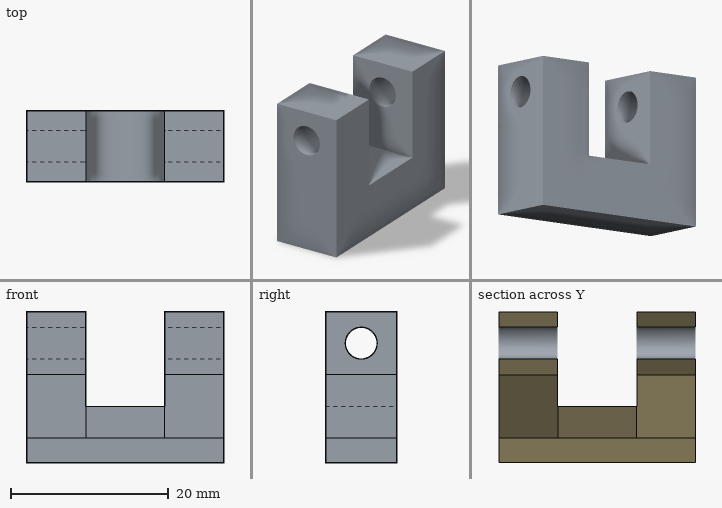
import cadquery as cq

length = 25.0
depth = 9.0
base_height = 3.18
block_width = 7.5
block_height = 8.0
spacer_height = 4.0
hole_diameter = 4.0

gap_width = length - 2 * block_width
block_offset = (length - block_width) / 2
lower_block_z = base_height
upper_block_z = lower_block_z + block_height


def make_box(width, height, x_center, z_bottom):
    """Full-depth box standing on the level z_bottom."""
    return (
        cq.Workplane("XY")
        .box(width, depth, height, centered=(True, True, False))
        .translate((x_center, 0, z_bottom))
    )


def make_base():
    """Plate that carries the blocks and the spacer."""
    return make_box(length, base_height, 0, 0)


def make_spacer():
    """Low block that fills the gap between the two lower blocks."""
    return make_box(gap_width, spacer_height, 0, base_height)


def make_lower_block(x_center):
    """Plain block standing on one end of the base."""
    return make_box(block_width, block_height, x_center, lower_block_z)


def make_upper_block(x_center):
    """Block on top of a lower block, with a through hole along X at its center."""
    block = make_box(block_width, block_height, x_center, upper_block_z)
    return block.faces("<X").workplane(centerOption="CenterOfBoundBox").hole(hole_diameter)


base = make_base()
spacer = make_spacer()

lower_blocks = []
upper_blocks = []
for x_center in (-block_offset, block_offset):
    lower_blocks.append(make_lower_block(x_center).val())
    upper_blocks.append(make_upper_block(x_center).val())

result = cq.Compound.makeCompound([base.val(), spacer.val(), *lower_blocks, *upper_blocks])